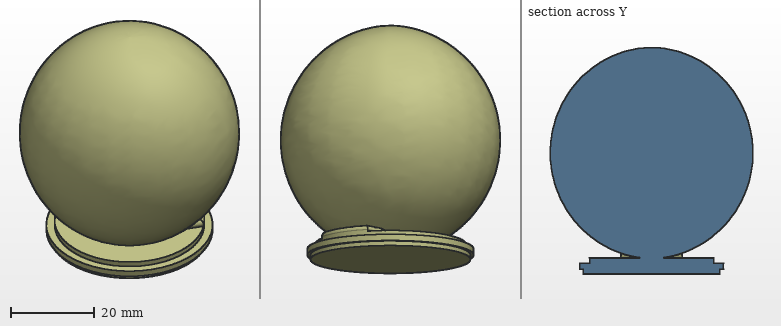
import cadquery as cq
import math

foot_diameter = 38.5
foot_top = 1.1
flange_diameter = 40.0
flange_top = 2.6
seat_diameter = 36.0
seat_top = 3.9

overall_height = 56.9
globe_radius = 26.4
globe_widest_z = 29.1
pole_rise = overall_height - globe_widest_z
globe_arc_radius = (pole_rise**2 + globe_radius**2) / (2 * globe_radius)
globe_arc_center_x = globe_radius - globe_arc_radius

tab_half_width = 7.4
tab_inner_y = 10.0
tab_top = 5.45
tab_edge_radius = 1.1


def disc(diameter, bottom, top):
    return cq.Workplane("XY").workplane(offset=bottom).circle(diameter / 2).extrude(top - bottom)


def base():
    foot = disc(foot_diameter, 0, foot_top)
    flange = disc(flange_diameter, foot_top, flange_top)
    seat = disc(seat_diameter, flange_top, seat_top)
    return foot.union(flange).union(seat)


def globe():
    """Arc from the seat out to the widest point and back to the pole, revolved about Z."""
    seat_drop = globe_widest_z - seat_top
    neck_radius = globe_arc_center_x + math.sqrt(globe_arc_radius**2 - seat_drop**2)
    return (
        cq.Workplane("XZ")
        .moveTo(0, seat_top)
        .lineTo(neck_radius, seat_top)
        .threePointArc((globe_radius, globe_widest_z), (0, overall_height))
        .close()
        .revolve(360, (0, 0, 0), (0, 1, 0))
    )


def tab():
    """Block trimmed to the seat's outline, with its upper edges rounded."""
    seat_radius = seat_diameter / 2
    block = (
        cq.Workplane("XY")
        .workplane(offset=flange_top)
        .center(0, (tab_inner_y + seat_radius) / 2)
        .rect(2 * tab_half_width, seat_radius - tab_inner_y)
        .extrude(tab_top - flange_top)
    )
    trimmed = block.intersect(disc(seat_diameter, flange_top, tab_top))
    return trimmed.faces(">Z").edges().fillet(tab_edge_radius)


result = base().union(globe()).union(tab())